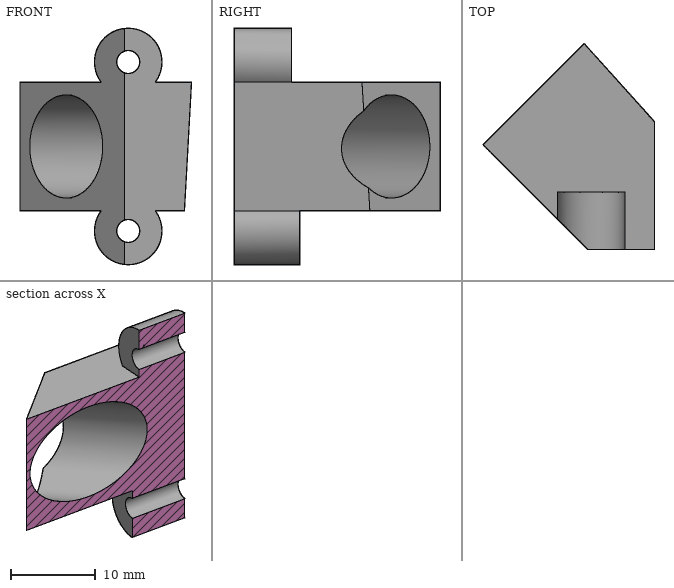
import cadquery as cq

total_height = 28.0
ear_radius = 4.0
ear_hole_diameter = 2.7
upper_ear_depth = 6.8
lower_ear_depth = 7.78
ear_offset = total_height / 2 - ear_radius

width = 20.33
depth = 24.4
block_height = 15.23
bored_face_run = 12.4
side_face_length = 15.12
rear_corner_run = 11.98
side_taper = 0.85

bore_diameter = 12.2
bore_center_run = 5.5

left = -12.82
right = left + width
front_corner = left + bored_face_run
rear_corner = left + rear_corner_run
top = block_height / 2


def prism(points, height):
    """Prism on a plan outline, centred on Z = 0."""
    return cq.Workplane("XY").polyline(points).close().extrude(height / 2, both=True)


def block():
    plan = [
        (left, bored_face_run),
        (front_corner, 0),
        (right, 0),
        (right, side_face_length),
        (rear_corner, depth),
    ]
    side_wedge = (
        cq.Workplane("XZ")
        .polyline([(right, top), (right, -top), (right - side_taper, -top)])
        .close()
        .extrude(-depth)
    )
    return prism(plan, block_height).cut(side_wedge)


def cylinder_along_y(radius, z, length):
    return cq.Workplane("XZ").center(0, z).circle(radius).extrude(-length)


def front_corner_waste():
    """Everything in front of the 45 degree face."""
    plan = [(left, bored_face_run), (front_corner, 0), (left, 0)]
    return prism(plan, total_height)


def bore():
    bored_face = cq.Plane(
        origin=(left + bore_center_run, bored_face_run - bore_center_run, 0),
        xDir=(1, -1, 0),
        normal=(1, 1, 0),
    )
    return cq.Workplane(bored_face).circle(bore_diameter / 2).extrude(depth)


result = block()
ears = ((ear_offset, upper_ear_depth), (-ear_offset, lower_ear_depth))
for ear_z, ear_depth in ears:
    result = result.union(cylinder_along_y(ear_radius, ear_z, ear_depth))
result = result.cut(front_corner_waste()).cut(bore())
for ear_z, ear_depth in ears:
    result = result.cut(cylinder_along_y(ear_hole_diameter / 2, ear_z, ear_depth))